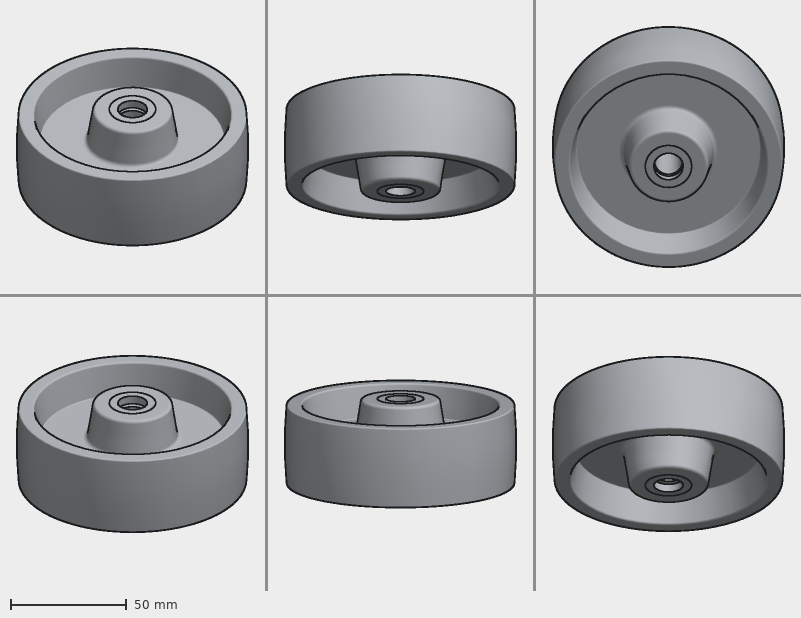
import cadquery as cq
import math

wheel_radius = 50.0
rim_edge_radius = 49.2
rim_half_width = 17.5
tread_edge_fillet = 0.7
rim_mouth_radius = 42.5
rim_mouth_fillet = 1.0
rim_floor_radius = 39.8
rim_floor_fillet = 0.5

web_half_thickness = 3.3
hub_half_length = 20.0
hub_end_radius = 17.0
hub_draft_angle = 9.0
hub_end_fillet = 1.5
hub_root_fillet = 2.0
hub_root_radius = hub_end_radius + (hub_half_length - web_half_thickness) * math.tan(
    math.radians(hub_draft_angle)
)

hub_bore_radius = 10.0
sleeve_bore_radius = 6.0
sleeve_half_length = 15.0
cap_bore_radius = 6.3
cap_thickness = 3.7


def ring(outer_radius, inner_radius, bottom, height):
    """Plain ring about the Z axis."""
    return (
        cq.Workplane("XY")
        .workplane(offset=bottom)
        .circle(outer_radius)
        .circle(inner_radius)
        .extrude(height)
    )


def round_circles(body, radius, height, fillet):
    """Round the circular edges of one radius at +height and -height."""
    tolerance = 0.01
    for z in (-height, height):
        edge = cq.selectors.BoxSelector(
            (-radius - tolerance, -radius - tolerance, z - tolerance),
            (radius + tolerance, radius + tolerance, z + tolerance),
            boundingbox=True,
        )
        smaller = cq.selectors.BoxSelector(
            (-radius + tolerance, -radius + tolerance, z - tolerance),
            (radius - tolerance, radius - tolerance, z + tolerance),
            boundingbox=True,
        )
        body = body.edges(edge - smaller).fillet(fillet)
    return body


def make_wheel():
    """Crowned wheel with a thin web and a drafted hub, mirrored about Z = 0."""
    wheel = (
        cq.Workplane("XZ")
        .moveTo(hub_bore_radius, -hub_half_length)
        .lineTo(hub_end_radius, -hub_half_length)
        .lineTo(hub_root_radius, -web_half_thickness)
        .lineTo(rim_floor_radius, -web_half_thickness)
        .lineTo(rim_mouth_radius, -rim_half_width)
        .lineTo(rim_edge_radius, -rim_half_width)
        .threePointArc((wheel_radius, 0), (rim_edge_radius, rim_half_width))
        .lineTo(rim_mouth_radius, rim_half_width)
        .lineTo(rim_floor_radius, web_half_thickness)
        .lineTo(hub_root_radius, web_half_thickness)
        .lineTo(hub_end_radius, hub_half_length)
        .lineTo(hub_bore_radius, hub_half_length)
        .close()
        .revolve(360, (0, 0, 0), (0, 1, 0))
    )
    wheel = round_circles(wheel, rim_edge_radius, rim_half_width, tread_edge_fillet)
    wheel = round_circles(wheel, rim_mouth_radius, rim_half_width, rim_mouth_fillet)
    wheel = round_circles(wheel, rim_floor_radius, web_half_thickness, rim_floor_fillet)
    wheel = round_circles(wheel, hub_root_radius, web_half_thickness, hub_root_fillet)
    return round_circles(wheel, hub_end_radius, hub_half_length, hub_end_fillet)


def make_sleeve():
    """Bearing sleeve in the middle of the hub bore, short of both end caps."""
    return ring(hub_bore_radius, sleeve_bore_radius, -sleeve_half_length, 2 * sleeve_half_length)


def make_end_cap(bottom):
    """Ring that closes one end of the hub bore."""
    return ring(hub_bore_radius, cap_bore_radius, bottom, cap_thickness)


wheel = make_wheel()
sleeve = make_sleeve()
cap_bottoms = (-hub_half_length, hub_half_length - cap_thickness)
end_caps = [make_end_cap(bottom).val() for bottom in cap_bottoms]

result = cq.Compound.makeCompound([wheel.val(), sleeve.val(), *end_caps])